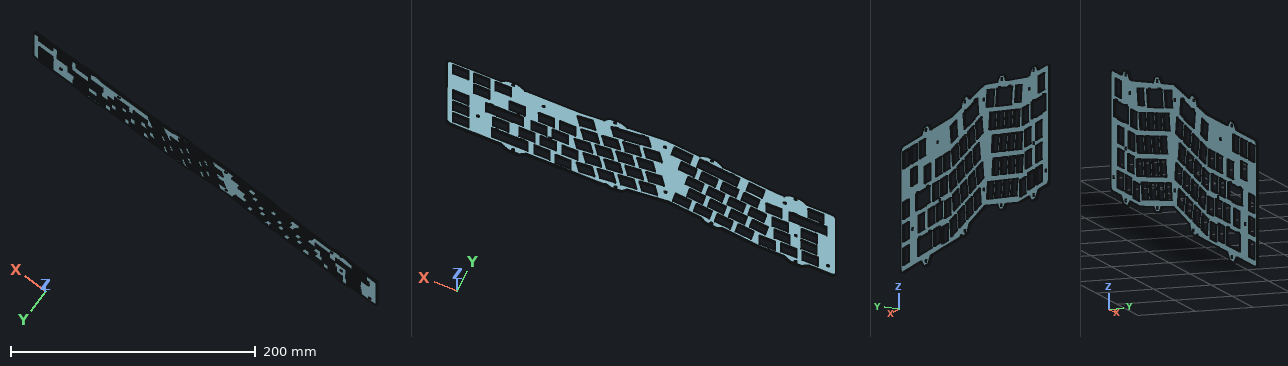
import cadquery as cq
import math

thickness = 1.5
half_length = 174.5
half_height = 61.0

ten_key_span = 190.5
pitch = ten_key_span / 10
key_cutout = 14.0
hand_angle = 10.0


def place(start, keys_right, keys_down, angle):
    """Point a number of key pitches right of and below start, on a grid tilted by angle."""
    tilt = math.radians(angle)
    right = keys_right * pitch
    down = keys_down * pitch
    x = start[0] + right * math.cos(tilt) + down * math.sin(tilt)
    z = start[1] + right * math.sin(tilt) - down * math.cos(tilt)
    return (x, z)


def tilted(center, angle):
    """Workplane on the mid plane of the plate, at center and turned by angle."""
    return cq.Workplane("XZ").center(*center).transformed(rotate=(0, 0, angle))


def plate_solid(sketch):
    """Closed sketch on the mid plane, made as thick as the plate."""
    return sketch.extrude(thickness / 2, both=True)


top_left = 45.7
top_right = 50.5
bottom = -55.0
bottom_step = -56.0
peak_x = -23.5
valley = (-24.5, -41.2)
corner_radius = 4.2

outline = [
    (-half_length, top_left),
    (-123.0, top_left),
    (peak_x, half_height),
    (55.0, top_right),
    (174.2, top_right),
    (half_length, -24.5),
    (half_length, bottom),
    (35.0, bottom),
    (28.0, -51.3),
    valley,
    (-104.0, bottom_step),
    (-129.0, bottom_step),
    (-129.0, bottom),
    (-half_length, bottom),
]
plate = plate_solid(cq.Workplane("XZ").polyline(outline).close())
outer_corners = [
    (-half_length, top_left),
    (-half_length, bottom),
    (half_length, top_right),
    (half_length, bottom),
]
for x, z in outer_corners:
    corner_edge = plate.edges("|Y").edges(cq.selectors.NearestToPointSelector((x, 0, z)))
    plate = corner_edge.fillet(corner_radius)

tab_base = 24.8
tab_tip = 10.0
tab_height = 7.0
tabs = [
    ((-138.5, 47.8), 0, 2.8),
    ((-63.5, 56.5), hand_angle, 3.5),
    ((23.5, 56.5), -hand_angle, 3.5),
    ((115.0, 52.5), 0, 3.5),
    ((-138.5, -57.2), 180, 4.0),
    ((-63.0, -49.2), 180 + hand_angle, 3.5),
    ((23.0, -52.0), 180 - hand_angle, 3.5),
    ((115.0, -57.2), 180, 4.0),
]
for screw, angle, lip in tabs:
    trapezoid = [
        (-tab_base / 2, lip - tab_height),
        (tab_base / 2, lip - tab_height),
        (tab_tip / 2, lip),
        (-tab_tip / 2, lip),
    ]
    plate = plate.union(plate_solid(tilted(screw, angle).polyline(trapezoid).close()))

left_hand = (-98.0, 16.5)
right_hand = (-10.5, 27.0)
left_shifts = [0, -0.5, -0.75, -0.25]
right_shifts = [0, 0.5, 0.25, 0.75]
keys_per_hand_row = 4

upper_row = 15.5
home_row = upper_row - pitch

key_rows = [
    ((-102.5, 36.0), 1, hand_angle),
    ((49.2, 37.0), 1, -hand_angle),
    ((-156.7, 33.0), 1, 0),
    ((-119.0, 14.3), 1, 0),
    ((-150.8, -5.2), 1, 0),
    ((-124.5, -5.2), 1, 0),
    ((-150.5, -24.0), 1, 0),
    ((-126.5, -24.0), 1, 0),
    ((-151.5, -43.0), 2, 0),
    ((-113.0, -44.7), 1, 0),
    ((124.0, 38.7), 3, 0),
    ((143.0, 20.0), 1, 0),
    ((66.0, upper_row), 2, 0),
    ((111.5, upper_row), 1, 0),
    ((72.5, home_row), 2, 0),
    ((162.0, home_row), 1, 0),
    ((64.0, -24.0), 1, 0),
    ((83.5, -22.7), 2, 0),
    ((126.0, -22.7), 1, 0),
    ((162.0, -22.7), 1, 0),
    ((70.0, -44.5), 1, 0),
    ((89.0, -42.2), 1, 0),
    ((162.0, -42.2), 1, 0),
]
for row, (left_shift, right_shift) in enumerate(zip(left_shifts, right_shifts)):
    left_start = place(left_hand, left_shift, row, hand_angle)
    right_start = place(right_hand, right_shift, row, -hand_angle)
    key_rows.append((left_start, keys_per_hand_row, hand_angle))
    key_rows.append((right_start, keys_per_hand_row, -hand_angle))

for start, count, angle in key_rows:
    for key in range(count):
        center = place(start, key, 0, angle)
        plate = plate.cut(plate_solid(tilted(center, angle).rect(key_cutout, key_cutout)))

wide_key = (-36.5, 46.5)
wide_key_width = 16.5
plate = plate.cut(plate_solid(tilted(wide_key, hand_angle).rect(wide_key_width, key_cutout)))

slot_top = 7.5
notch_top = 8.5
notch_width = 3.0
notch_offset = 12.0
slots = [
    ((-149.8, 14.3), 0, 33.5, 6.3),
    ((122.5, home_row), 0, 33.5, 6.3),
    ((118.0, -42.2), 0, 32.5, 7.0),
    ((-69.0, 41.0), hand_angle, 36.0, 7.5),
    ((9.0, 42.5), -hand_angle, 33.5, 6.3),
]
for center, angle, length, slot_bottom in slots:
    sketch_plane = tilted(center, angle)
    plate = plate.cut(plate_solid(sketch_plane.rect(key_cutout, key_cutout)))
    slot_middle = (slot_top - slot_bottom) / 2
    slot = sketch_plane.center(0, slot_middle).rect(length, slot_top + slot_bottom)
    plate = plate.cut(plate_solid(slot))
    notch_centers = [(-notch_offset, notch_top / 2), (notch_offset, notch_top / 2)]
    notches = sketch_plane.pushPoints(notch_centers).rect(notch_width, notch_top)
    plate = plate.cut(plate_solid(notches))

screw_diameter = 2.0
inner_screws = [
    (-128.8, 34.2),
    (-21.3, 48.5),
    (-21.5, -27.0),
    (-167.5, -43.0),
    (-138.5, -13.5),
    (87.5, 36.3),
    (146.5, -23.7),
    (82.0, -13.3),
]
tab_screws = [screw for screw, angle, lip in tabs]
holes = cq.Workplane("XZ").pushPoints(inner_screws + tab_screws).circle(screw_diameter / 2)
result = plate.cut(plate_solid(holes))